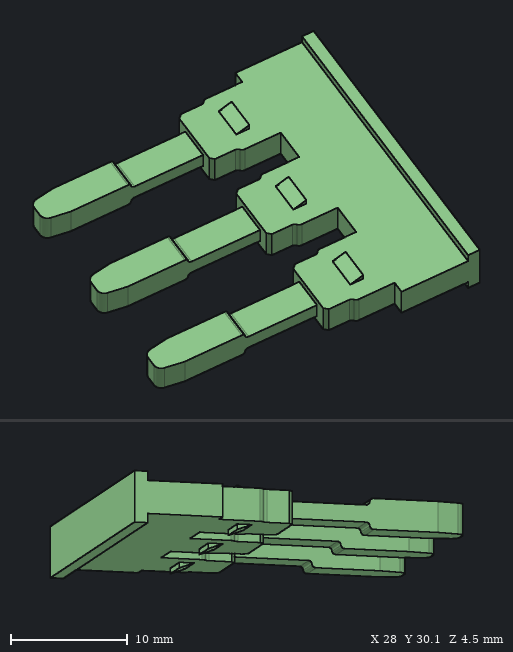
import cadquery as cq


total_width = 28.0
total_length = 30.15
rim_length = 1.18
rim_height = 4.5
body_length = 7.8
body_height = 2.9

tooth_count = 3
tooth_pitch = 9.6
tooth_width = 6.48
tooth_end = 14.5
tooth_chamfer = 0.35
shoulder_start = 11.4
shoulder_length = 0.72
shoulder_inset = 0.35

wedge_start = 9.9
wedge_length = 1.3
wedge_height = 0.48

blade_width = 3.0
neck_height = 1.5
head_height = 2.7
step_center = 21.65
step_length = 0.65
taper_start = 27.7
tip_inset = 0.4
tip_radius = 0.75


def box(width, start, end, height):
    """Block centred on X = 0 and Z = 0 that reaches from depth `start` to depth `end`."""
    return cq.Workplane("XY").box(width, end - start, height).translate((0, -(start + end) / 2, 0))


def make_comb():
    """Back rim and the plate that carries the teeth."""
    rim = box(total_width, 0, rim_length, rim_height)
    plate = box(total_width, 0, body_length, body_height)
    return rim.union(plate)


def make_tooth():
    """Tooth rooted in the plate, with S-shaped shoulders and chamfered end corners."""
    half_width = tooth_width / 2
    half_end_width = half_width - shoulder_inset
    shoulder_end = shoulder_start + shoulder_length
    shoulder_middle = (half_width - shoulder_inset / 2, -(shoulder_start + shoulder_end) / 2)
    return (
        cq.Workplane("XY")
        .moveTo(0, -rim_length)
        .lineTo(half_width, -rim_length)
        .lineTo(half_width, -shoulder_start)
        .tangentArcPoint(shoulder_middle, relative=False)
        .tangentArcPoint((half_end_width, -shoulder_end), relative=False)
        .lineTo(half_end_width, -tooth_end + tooth_chamfer)
        .lineTo(half_end_width - tooth_chamfer, -tooth_end)
        .lineTo(0, -tooth_end)
        .mirrorY()
        .extrude(body_height / 2, both=True)
    )


def make_wedges():
    """Ramps on both faces of a tooth, highest towards the rim, tied together through the tooth."""
    base = body_height / 2
    tip = base + wedge_height
    wedge_end = wedge_start + wedge_length
    return (
        cq.Workplane("YZ")
        .polyline([(-wedge_start, -tip), (-wedge_start, tip), (-wedge_end, base), (-wedge_end, -base)])
        .close()
        .extrude(blade_width / 2, both=True)
    )


def make_blade_profile():
    """Blade seen along X: a thin neck with S-shaped steps up to a thicker head."""
    half_neck = neck_height / 2
    half_head = head_height / 2
    step_start = step_center - step_length / 2
    step_end = step_center + step_length / 2
    return (
        cq.Workplane("YZ")
        .moveTo(-body_length, 0)
        .lineTo(-body_length, half_neck)
        .lineTo(-step_start, half_neck)
        .tangentArcPoint((-step_center, (half_neck + half_head) / 2), relative=False)
        .tangentArcPoint((-step_end, half_head), relative=False)
        .lineTo(-total_length, half_head)
        .lineTo(-total_length, 0)
        .mirrorX()
        .extrude(blade_width / 2, both=True)
    )


def make_blade_outline():
    """Blade seen along Z: straight sides, then a slight taper to a tip with rounded corners."""
    half_width = blade_width / 2
    half_tip = half_width - tip_inset
    return (
        cq.Workplane("XY")
        .moveTo(0, -body_length)
        .lineTo(half_width, -body_length)
        .lineTo(half_width, -taper_start)
        .lineTo(half_tip, -total_length)
        .lineTo(0, -total_length)
        .mirrorY()
        .extrude(head_height / 2, both=True)
        .faces("<Y")
        .edges("|Z")
        .fillet(tip_radius)
    )


def make_blade():
    """Overlap of the two blade shapes, rooted in the plate."""
    return make_blade_profile().intersect(make_blade_outline())


contact = make_tooth().union(make_wedges()).union(make_blade())

result = make_comb()
for index in range(tooth_count):
    offset = (index - (tooth_count - 1) / 2) * tooth_pitch
    result = result.union(contact.translate((offset, 0, 0)))